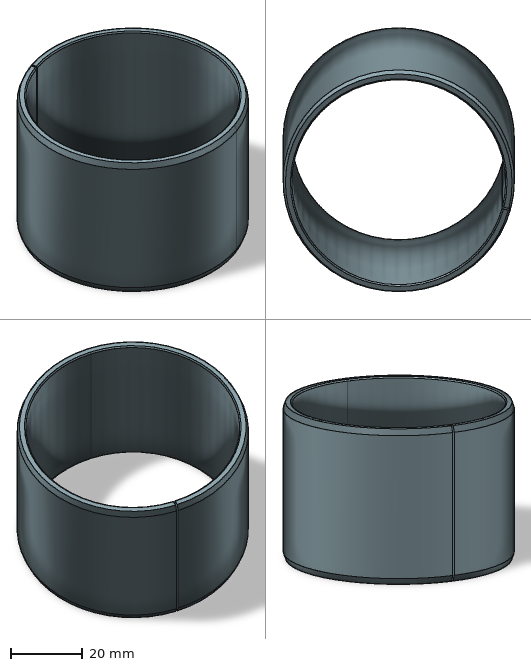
import cadquery as cq
import math

outer_diameter = 65.0
wall = 2.5
height = 45.0
slit_width = 0.5

outer_chamfer_length = 1.8
outer_chamfer_angle = 20.0
outer_chamfer_depth = outer_chamfer_length * math.tan(math.radians(outer_chamfer_angle))
inner_chamfer = 0.4

outer_radius = outer_diameter / 2
inner_radius = outer_radius - wall
half_height = height / 2

upper_section = [
    (outer_radius, half_height - outer_chamfer_length),
    (outer_radius - outer_chamfer_depth, half_height),
    (inner_radius + inner_chamfer, half_height),
    (inner_radius, half_height - inner_chamfer),
]
lower_section = [(radius, -z) for radius, z in reversed(upper_section)]

sleeve = (
    cq.Workplane("XZ")
    .polyline(upper_section + lower_section)
    .close()
    .revolve(360, (0, 0), (0, 1))
)

slit = (
    cq.Workplane("XY")
    .box(outer_radius, slit_width, height, centered=(True, False, True))
    .translate((-outer_radius, 0, 0))
)

result = sleeve.cut(slit)